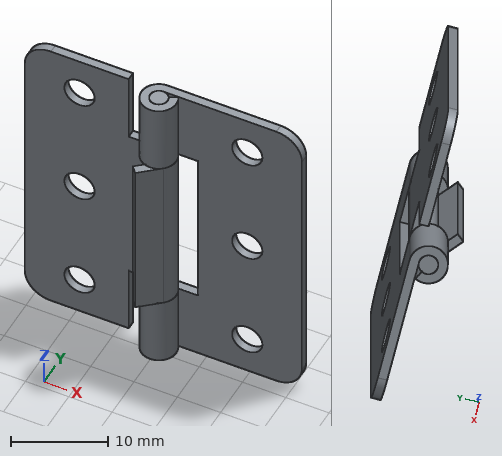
import cadquery as cq
import math

hinge_height = 36.0
hinge_width = 32.0
leaf_reach = hinge_width / 2
sheet_thickness = 1.0
corner_radius = 3.0

pin_radius = 1.0
barrel_radius = pin_radius + sheet_thickness

middle_knuckle_height = 19.4
notch_reach = 4.0

right_curl_end_angle = 28.0
left_curl_end_angle = -50.0
tab_length = 3.0

hole_diameter = 3.5
hole_offset = 9.7
hole_spacing = 13.5
holes_per_leaf = 3


def polar(radius, angle):
    """Point at a radius and an angle in degrees about the pin axis."""
    radians = math.radians(angle)
    return (radius * math.cos(radians), radius * math.sin(radians))


def extrude_centered(profile, height):
    """Extrude an XY profile along Z by equal amounts above and below the origin."""
    return profile.extrude(height).translate((0, 0, -height / 2))


def finish_leaf(leaf, side):
    """Round the two outer corners and drill the screw holes; side is -1 or +1 along X."""
    outer_edges = "|Y and <X" if side < 0 else "|Y and >X"
    leaf = leaf.edges(outer_edges).fillet(corner_radius)
    holes = (
        cq.Workplane("XZ", origin=(side * hole_offset, 0, 0))
        .rarray(0.35, hole_spacing, 1, holes_per_leaf)
        .circle(hole_diameter / 2)
        .extrude(-2 * barrel_radius)
    )
    return leaf.cut(holes).solids()


def make_left_leaf():
    """Leaf whose knuckle wraps clockwise over the pin and runs out into a straight tab."""
    curl_middle_angle = (90 + left_curl_end_angle) / 2
    outer_end = polar(barrel_radius, left_curl_end_angle)
    inner_end = polar(pin_radius, left_curl_end_angle)
    tab_x, tab_y = polar(tab_length, left_curl_end_angle - 90)
    profile = (
        cq.Workplane("XY")
        .moveTo(-leaf_reach, barrel_radius)
        .lineTo(0, barrel_radius)
        .threePointArc(polar(barrel_radius, curl_middle_angle), outer_end)
        .lineTo(outer_end[0] + tab_x, outer_end[1] + tab_y)
        .lineTo(inner_end[0] + tab_x, inner_end[1] + tab_y)
        .lineTo(*inner_end)
        .threePointArc(polar(pin_radius, curl_middle_angle), (0, pin_radius))
        .lineTo(-leaf_reach, pin_radius)
        .close()
    )
    knuckle_strip = extrude_centered(profile, middle_knuckle_height)
    plate_width = leaf_reach - notch_reach
    plate = cq.Workplane("XY").box(plate_width, sheet_thickness, hinge_height).translate(
        (-notch_reach - plate_width / 2, pin_radius + sheet_thickness / 2, 0)
    )
    return finish_leaf(plate.union(knuckle_strip), -1)


def make_right_leaf():
    """Leaf whose two end knuckles wrap counterclockwise almost fully around the pin."""
    curl_middle_angle = (90 + right_curl_end_angle + 360) / 2
    profile = (
        cq.Workplane("XY")
        .moveTo(leaf_reach, barrel_radius)
        .lineTo(0, barrel_radius)
        .threePointArc(
            polar(barrel_radius, curl_middle_angle), polar(barrel_radius, right_curl_end_angle)
        )
        .lineTo(*polar(pin_radius, right_curl_end_angle))
        .threePointArc(polar(pin_radius, curl_middle_angle), (0, pin_radius))
        .lineTo(leaf_reach, pin_radius)
        .close()
    )
    leaf = extrude_centered(profile, hinge_height)
    notch = cq.Workplane("XY").box(2 * notch_reach, 2 * notch_reach, middle_knuckle_height)
    return finish_leaf(leaf.cut(notch), 1)


def make_pin():
    """Plain pin, flush with both ends of the hinge."""
    return extrude_centered(cq.Workplane("XY").circle(pin_radius), hinge_height)


left_leaf = make_left_leaf()
right_leaf = make_right_leaf()
pin = make_pin()

result = cq.Compound.makeCompound([left_leaf.val(), right_leaf.val(), pin.val()])